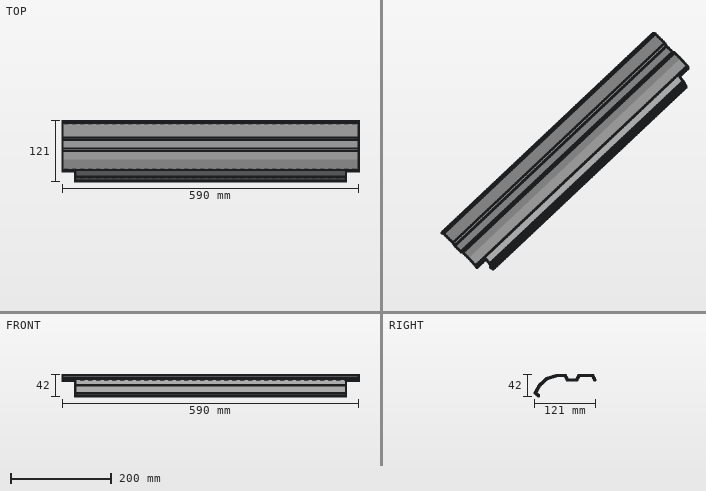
import cadquery as cq
import math

length = 590.0
depth = 121.0
height = 42.0
thickness = 2.05

rear_fold = 5.0
groove_start = 33.5
groove_end = 59.5
groove_wall_run = 5.0
groove_depth = 9.0
rear_flange_drop = 10.0

bend_start = 78.0
first_facet = (97.5, 6.0)
second_facet = (112.0, 19.5)
front_edge_drop = 35.5
lip_end = 113.0

notch_length = 25.5
notch_start = 101.0

upper_face = [
    (0, rear_flange_drop),
    (rear_fold, 0),
    (groove_start, 0),
    (groove_start + groove_wall_run, groove_depth),
    (groove_end - groove_wall_run, groove_depth),
    (groove_end, 0),
    (bend_start, 0),
    first_facet,
    second_facet,
    (depth, front_edge_drop),
    (lip_end, height),
]


def section_point(setback, drop):
    """Turn a distance from the rear edge and a drop from the top into Y and Z."""
    return depth / 2 - setback, height - drop


def offset_path(points, distance):
    """Shift an open path sideways, to its left, with mitred corners."""
    normals = []
    for (y0, z0), (y1, z1) in zip(points, points[1:]):
        run = math.hypot(y1 - y0, z1 - z0)
        normals.append(((z0 - z1) / run, (y1 - y0) / run))
    shifted = []
    for (y, z), before, after in zip(points, normals[:1] + normals, normals + normals[-1:]):
        miter = distance / (1 + before[0] * after[0] + before[1] * after[1])
        shifted.append((y + miter * (before[0] + after[0]), z + miter * (before[1] + after[1])))
    return shifted


def folded_sheet():
    outer = [section_point(setback, drop) for setback, drop in upper_face]
    inner = offset_path(outer, thickness)
    return (
        cq.Workplane("YZ", origin=(-length / 2, 0, 0))
        .polyline(outer + inner[::-1])
        .close()
        .extrude(length)
    )


def corner_notch(side):
    """Block reaching from one end and the front edge, over the full height."""
    notch_depth = depth - notch_start
    return (
        cq.Workplane("XY")
        .box(notch_length, notch_depth, height)
        .translate((side * (length - notch_length) / 2, (notch_depth - depth) / 2, height / 2))
    )


result = folded_sheet()
for side in (-1, 1):
    result = result.cut(corner_notch(side))